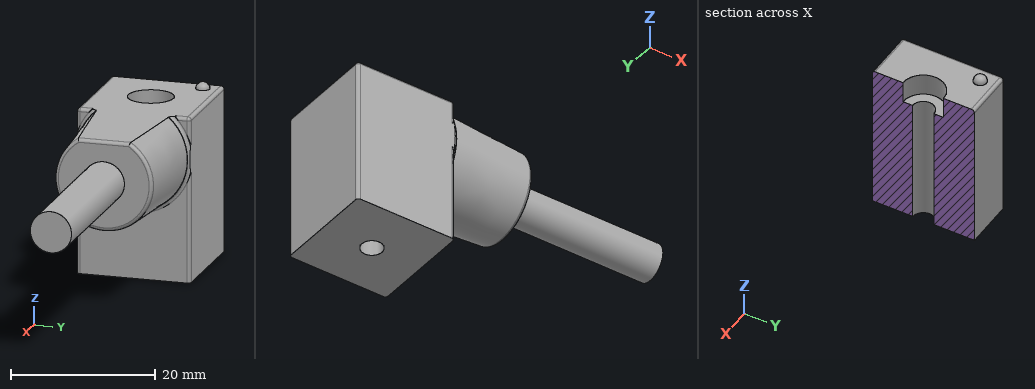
import cadquery as cq
import math

overall_length = 55.5

block_side = 16.5
block_height = 24.0
edge_radius = 0.5

axis_height = 18.0
sleeve_end_x = 30.5
sleeve_root_radius = 8.0
sleeve_end_radius = 7.05
sleeve_end_fillet = 0.5
root_flare = 0.5

cable_diameter = 6.0

bore_diameter = 3.4
counterbore_diameter = 6.5
counterbore_depth = 3.5

dome_radius = 1.0
dome_x = 2.5
dome_y = 5.75


def make_block():
    block = cq.Workplane("XY").box(block_side, block_side, block_height, centered=(False, True, False))
    return block.edges("|Z or >Z").fillet(edge_radius)


def make_sleeve_envelope():
    """Space within the block's width and below its top face."""
    return cq.Workplane("XY").box(
        overall_length, block_side, block_height, centered=(False, True, False)
    )


def revolve_about_axis(profile):
    """Revolve an (X, radius) profile about the cable axis."""
    return profile.close().revolve(360, (0, 0), (1, 0)).translate((0, 0, axis_height))


def make_sleeve():
    """Cone with a flat top and a rounded free end."""
    start_x = block_side / 2
    slope = (sleeve_root_radius - sleeve_end_radius) / (sleeve_end_x - block_side)
    start_radius = sleeve_root_radius + slope * (block_side - start_x)
    profile = (
        cq.Workplane("XZ")
        .moveTo(start_x, 0)
        .lineTo(start_x, start_radius)
        .lineTo(sleeve_end_x, sleeve_end_radius)
        .lineTo(sleeve_end_x, 0)
    )
    sleeve = revolve_about_axis(profile).intersect(make_sleeve_envelope())
    return sleeve.faces(">X").edges().fillet(sleeve_end_fillet)


def make_root_flare():
    """Concave blend where the sleeve meets the block."""
    start_x = block_side - edge_radius
    outer_radius = sleeve_root_radius + root_flare
    end_x = block_side + root_flare
    sag = root_flare * (1 - math.sqrt(0.5))
    profile = (
        cq.Workplane("XZ")
        .moveTo(start_x, 0)
        .lineTo(start_x, outer_radius)
        .lineTo(block_side, outer_radius)
        .threePointArc((block_side + sag, sleeve_root_radius + sag), (end_x, sleeve_root_radius))
        .lineTo(end_x, 0)
    )
    return revolve_about_axis(profile).intersect(make_sleeve_envelope())


def make_cable():
    return (
        cq.Workplane("YZ", origin=(block_side, 0, axis_height))
        .circle(cable_diameter / 2)
        .extrude(overall_length - block_side)
    )


def make_dome():
    return cq.Workplane("XY").sphere(dome_radius).translate((dome_x, dome_y, block_height))


def cut_stepped_hole(body):
    return (
        body.copyWorkplane(cq.Workplane("XY", origin=(block_side / 2, 0, block_height)))
        .cboreHole(bore_diameter, counterbore_diameter, counterbore_depth)
    )


body = make_block()
for piece in (make_sleeve(), make_root_flare(), make_cable(), make_dome()):
    body = body.union(piece)

result = cut_stepped_hole(body)